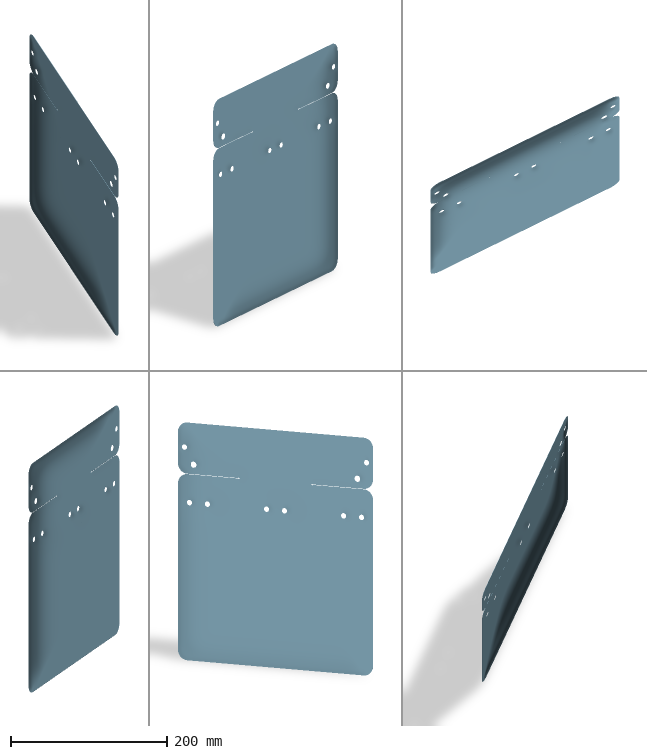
import cadquery as cq

width = 273.0
height = 310.0
thickness = 0.25
corner_radius = 13.0

slit_height = 88.0
slit_width = 0.5
slit_end_x = 51.5
slit_end_diameter = 2.0

small_hole_diameter = 7.0
large_hole_diameter = 8.0
flap_outer_hole = (127.5, 122.8)
flap_inner_hole = (114.7, 100.8)
row_height = 50.8
pair_spacing = 25.0
side_pair_x = 108.0


def rounded_panel(bottom, top):
    """Full-width rounded rectangle between two heights."""
    return (
        cq.Workplane("XZ")
        .center(0, (bottom + top) / 2)
        .rect(width, top - bottom)
        .extrude(thickness / 2, both=True)
        .edges("|Y")
        .fillet(corner_radius)
    )


def drill(body, points, diameter):
    """Cut round through holes at the given (x, z) points."""
    cutter = (
        cq.Workplane("XZ")
        .pushPoints(points)
        .circle(diameter / 2)
        .extrude(thickness, both=True)
    )
    return body.cut(cutter)


def mirrored(point):
    x, z = point
    return [(-x, z), (x, z)]


main_panel = rounded_panel(-height / 2, slit_height - slit_width / 2)
flap = rounded_panel(slit_height + slit_width / 2, height / 2)
bridge = (
    cq.Workplane("XZ")
    .center(0, slit_height)
    .rect(2 * slit_end_x, 2 * corner_radius)
    .extrude(thickness / 2, both=True)
)
sheet = main_panel.union(flap).union(bridge)

sheet = drill(sheet, mirrored((slit_end_x, slit_height)), slit_end_diameter)

sheet = drill(sheet, mirrored(flap_outer_hole), small_hole_diameter)
sheet = drill(sheet, mirrored(flap_inner_hole), large_hole_diameter)

row_points = [
    (pair_x + side * pair_spacing / 2, row_height)
    for pair_x in (-side_pair_x, 0, side_pair_x)
    for side in (-1, 1)
]
result = drill(sheet, row_points, small_hole_diameter)